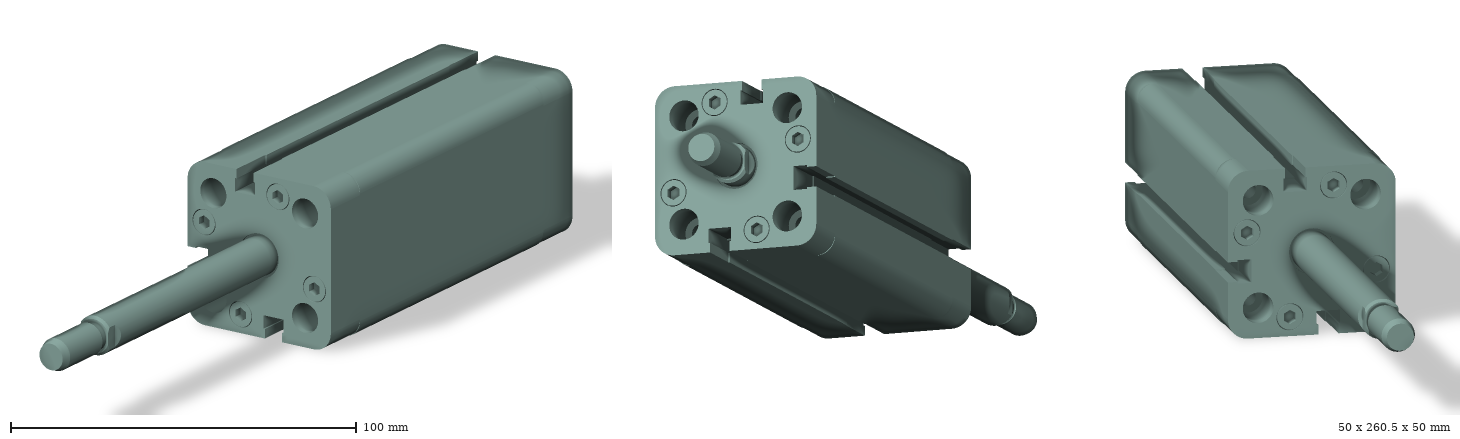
import cadquery as cq
import math

total_length = 260.5
body_length = 125.0
cap_length = 15.0
stroke = 80.0
rear_extension = (total_length - body_length - stroke) / 2
front_extension = rear_extension + stroke

body_width = 50.0
body_half = body_width / 2
tube_corner_radius = 5.5
cap_corner_radius = 6.0

slot_offset = -5.0
tube_neck_width = 5.5
cap_neck_width = 6.0
slot_base_width = 7.0
slot_lip = 2.9
tube_slot_depth = 6.5
cap_slot_depth = 7.0
slot_angles = (0, -90, 180)

mount_spacing = 32.0
mount_bore = 5.0
mount_counterbore = 9.0
mount_counterbore_depth = 13.0

screw_long_offset = 19.3
screw_short_offset = 6.5
screw_positions = (
    (screw_short_offset, screw_long_offset),
    (screw_long_offset, -screw_short_offset),
    (-screw_short_offset, -screw_long_offset),
    (-screw_long_offset, screw_short_offset),
)
screw_hole = 8.0
screw_head = 7.5
screw_gap_depth = 2.5
socket_across_flats = 3.6
socket_across_corners = socket_across_flats / math.cos(math.pi / 6)
socket_depth = 2.5

rod_diameter = 12.0
rod_recess_diameter = 13.5
rod_recess_depth = 0.8
thread_diameter = 10.0
thread_tip_diameter = 8.0
neck_diameter = 8.5
thread_chamfer = 2.5
thread_length = 16.7
neck_length = 2.9
rod_edge_chamfer = 0.8
flat_width = 10.0
flat_length = 3.6
flat_ramp = 1.5


def y_cylinder(diameter, y_start, length, x=0.0, z=0.0):
    return cq.Workplane("XZ", origin=(x, y_start, z)).circle(diameter / 2).extrude(-length)


def y_box(width, height, y_start, length, x=0.0, z=0.0):
    return cq.Workplane("XZ", origin=(x, y_start, z)).rect(width, height).extrude(-length)


def around_y(shape, angle):
    return shape.rotate((0, 0, 0), (0, 1, 0), angle)


def slot_channel(width, top_depth, bottom_depth, y_start, length):
    """Rectangular channel along Y between two depths below the top face."""
    height = bottom_depth - top_depth
    return y_box(width, height, y_start, length, slot_offset, body_half - top_depth - height / 2)


def cut_slots(block, neck_width, depth, y_start, length):
    neck = slot_channel(neck_width, 0, slot_lip, y_start, length)
    base = slot_channel(slot_base_width, slot_lip, depth, y_start, length)
    for angle in slot_angles:
        block = block.cut(around_y(neck, angle)).cut(around_y(base, angle))
    return block


def make_tube():
    start = cap_length
    length = body_length - 2 * cap_length
    tube = y_box(body_width, body_width, start, length).edges("|Y").fillet(tube_corner_radius)
    return cut_slots(tube, tube_neck_width, tube_slot_depth, start, length)


def make_front_cap():
    cap = y_box(body_width, body_width, 0, cap_length).edges("|Y").fillet(cap_corner_radius)
    cap = cut_slots(cap, cap_neck_width, cap_slot_depth, 0, cap_length)

    gap = y_cylinder(screw_hole, 0, screw_gap_depth).cut(y_cylinder(screw_head, 0, screw_gap_depth))
    socket = around_y(cq.Workplane("XZ").polygon(6, socket_across_corners).extrude(-socket_depth), 90)
    for x, z in screw_positions:
        cap = cap.cut(gap.translate((x, 0, z))).cut(socket.translate((x, 0, z)))

    return cap.cut(y_cylinder(rod_recess_diameter, 0, rod_recess_depth))


def make_body():
    front_cap = make_front_cap()
    rear_cap = front_cap.mirror("XZ").translate((0, body_length, 0))
    body = make_tube().union(front_cap).union(rear_cap)
    half = mount_spacing / 2
    for x in (-half, half):
        for z in (-half, half):
            body = body.cut(y_cylinder(mount_bore, 0, body_length, x, z))
            for y in (0, body_length - mount_counterbore_depth):
                body = body.cut(y_cylinder(mount_counterbore, y, mount_counterbore_depth, x, z))
    return body


def make_rod_half(extension):
    """Rod from the middle of the body to its threaded tip at Y = -extension."""
    tip = -extension
    thread_start = tip + thread_chamfer + thread_length
    rod_start = thread_start + neck_length
    rod_radius = rod_diameter / 2
    thread_radius = thread_diameter / 2
    neck_radius = neck_diameter / 2
    rod = (
        cq.Workplane("XY")
        .moveTo(0, tip)
        .lineTo(thread_tip_diameter / 2, tip)
        .lineTo(thread_radius, tip + thread_chamfer)
        .lineTo(thread_radius, thread_start)
        .lineTo(neck_radius, thread_start)
        .lineTo(neck_radius, rod_start)
        .lineTo(rod_radius - rod_edge_chamfer, rod_start)
        .lineTo(rod_radius, rod_start + rod_edge_chamfer)
        .lineTo(rod_radius, body_length / 2)
        .lineTo(0, body_length / 2)
        .close()
        .revolve(360, (0, 0, 0), (0, 1, 0))
    )
    flat_half = flat_width / 2
    flat_end = rod_start + flat_length
    flat = (
        cq.Workplane("XY")
        .moveTo(flat_half, rod_start)
        .lineTo(flat_half, flat_end)
        .lineTo(rod_radius, flat_end + flat_ramp)
        .lineTo(rod_diameter, flat_end + flat_ramp)
        .lineTo(rod_diameter, rod_start)
        .close()
        .extrude(rod_radius, both=True)
    )
    return rod.cut(flat).cut(flat.mirror("YZ"))


front_rod = make_rod_half(front_extension)
rear_rod = make_rod_half(rear_extension).mirror("XZ").translate((0, body_length, 0))
result = make_body().union(front_rod).union(rear_rod)